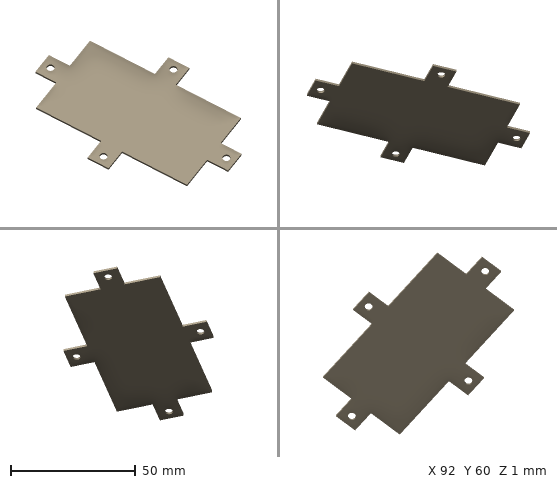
import cadquery as cq

plate_length = 72.0
plate_width = 40.0
thickness = 1.0
tab_reach = 10.0
tab_width = 10.0
hole_diameter = 3.2
hole_to_tab_end = 4.0

overall_length = plate_length + 2 * tab_reach
overall_width = plate_width + 2 * tab_reach
hole_x = overall_length / 2 - hole_to_tab_end
hole_y = overall_width / 2 - hole_to_tab_end


def flat_bar(length, width):
    """Rectangular sheet centred on the Z axis, standing on Z = 0."""
    return cq.Workplane("XY").rect(length, width).extrude(thickness)


def tab_holes():
    """Cutters for the through hole in each of the four tabs."""
    centres = [(hole_x, 0), (-hole_x, 0), (0, hole_y), (0, -hole_y)]
    return cq.Workplane("XY").pushPoints(centres).circle(hole_diameter / 2).extrude(thickness)


plate = flat_bar(plate_length, plate_width)
plate = plate.union(flat_bar(overall_length, tab_width))
plate = plate.union(flat_bar(tab_width, overall_width))

result = plate.cut(tab_holes()).clean()